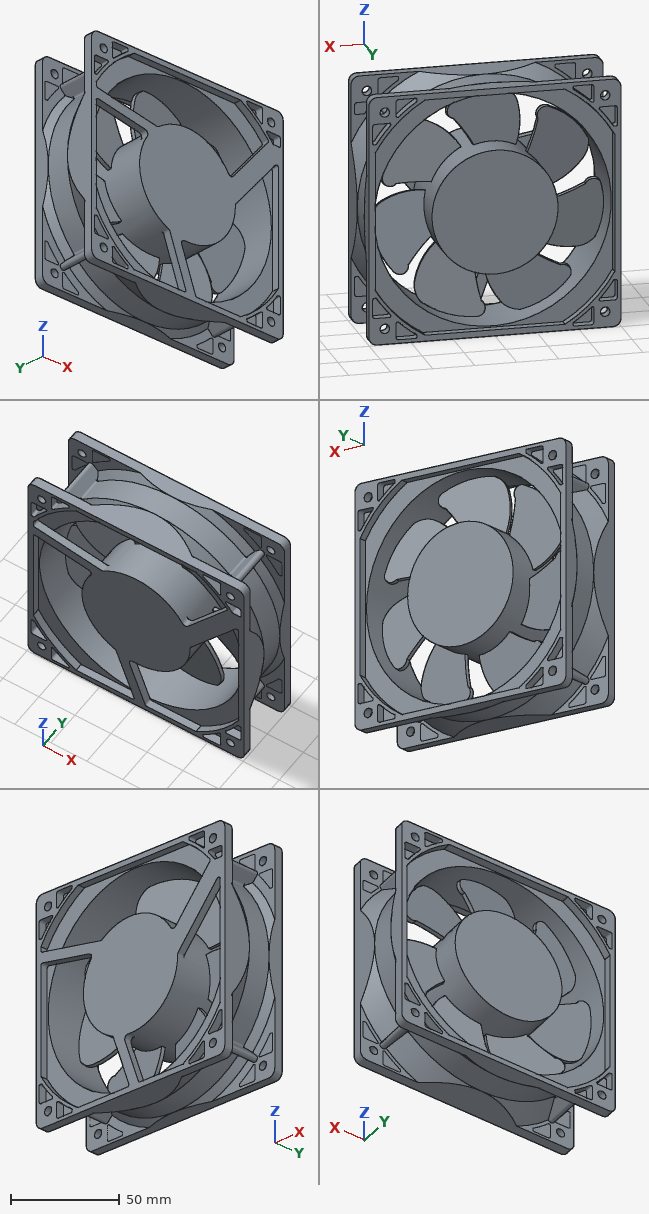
import cadquery as cq
import math

frame_size = 120.0
frame_depth = 38.5
corner_radius = 4.0
flange_thickness = 5.0
back_flange_front = frame_depth - flange_thickness
hole_offset = 52.5
hole_diameter = 4.5

ring_radius = 60.0
bore_radius = 56.4
ring_front = 16.5
ring_back = 29.6
front_flare_radius = 66.1
back_flare_radius = 63.2

post_offset = 47.3
post_reach = post_offset * math.sqrt(2)
post_radius = 1.7
web_root_radius = 1.1

recess_depth = 4.2
recess_half = 57.0
recess_radius = 66.0
recess_square_corner = math.sqrt(recess_radius**2 - recess_half**2)
spoke_rim_radius = 1.1
spoke_hub_radius = 2.0

hub_radius = 30.0
spoke_offset = 17.3
spokes = [(50, 10.2), (170, 5.5), (290, 5.5)]

pocket_depth = 4.5
pocket_far = 47.0
pocket_edge = 58.2
pocket_arc_radius = 67.7
pocket_tip = 37.2
pocket_short_tip = 41.3
pocket_corner_radius = 1.2
pocket_tip_radius = 0.7

blade_count = 7
blade_tilt = 10.0
blade_thickness = 2.0
blade_front = 22.5
trailing_root = (7.5, 29.5)
trailing_middle = (11.9, 36.4)
trailing_end = (17.4, 43.2)
trailing_tip = (20.8, 47.2)
rim_start = (18.6, 50.6)
rim_middle = (6.0, 55.0)
rim_end = (-8.3, 55.0)
leading_tip = (-12.6, 51.6)
leading_end = (-15.0, 46.8)
leading_middle = (-16.1, 37.2)
leading_root = (-14.0, 26.6)
blade_root_centre = (0, hub_radius / 2)


def front_plane(y):
    """Sketch plane at depth y, with sketch x along X and sketch y along Z."""
    return cq.Workplane("XZ", origin=(0, y, 0))


def prism(sketch, depth):
    """Extrude a front-plane sketch toward +Y."""
    return sketch.extrude(-depth)


def turn(body, angle):
    """Turn about the fan axis, from +X toward +Z."""
    return body.rotate((0, 0, 0), (0, 1, 0), -angle)


def cylinder(radius, y, depth):
    return prism(front_plane(y).circle(radius), depth)


def square_block(y, depth):
    block = prism(front_plane(y).rect(frame_size, frame_size), depth)
    return block.edges("|Y").fillet(corner_radius)


def at_corners(offset, radius):
    """Four full-depth cylinders, one per corner."""
    centres = front_plane(0).rect(2 * offset, 2 * offset, forConstruction=True).vertices()
    return prism(centres.circle(radius), frame_depth)


def make_duct():
    """Flared duct, trimmed flat where it would pass the square outline."""
    profile = [
        (0, 0),
        (front_flare_radius, 0),
        (front_flare_radius, flange_thickness),
        (ring_radius, ring_front),
        (ring_radius, ring_back),
        (back_flare_radius, back_flange_front),
        (back_flare_radius, frame_depth),
        (0, frame_depth),
    ]
    duct = cq.Workplane("XY").polyline(profile).close().revolve(360, (0, 0, 0), (0, 1, 0))
    return duct.intersect(square_block(0, frame_depth))


def make_webs(y, depth):
    """Two crossed bars along the diagonals, ending at the post centres."""
    bar = prism(front_plane(y).rect(2 * post_reach, 2 * post_radius), depth)
    return turn(bar, 45).union(turn(bar, -45))


def is_web_root(edge):
    centre = edge.Center()
    on_ring = abs(math.hypot(centre.x, centre.z) - ring_radius) < 0.01
    near_diagonal = abs(abs(centre.x) - abs(centre.z)) < 2 * post_radius
    return on_ring and near_diagonal


def make_ring_core():
    """Straight stretch of the ring, blended into the webs."""
    depth = ring_back - ring_front
    core = cylinder(ring_radius, ring_front, depth).union(make_webs(ring_front, depth))
    return core.edges("|Y").filter(is_web_root).fillet(web_root_radius)


def make_frame():
    frame = make_duct()
    frame = frame.union(square_block(0, flange_thickness))
    frame = frame.union(square_block(back_flange_front, flange_thickness))
    frame = frame.union(make_webs(0, frame_depth))
    frame = frame.union(make_ring_core())
    frame = frame.union(at_corners(post_offset, post_radius))
    frame = frame.cut(at_corners(hole_offset, hole_diameter / 2))
    return frame.cut(cylinder(bore_radius, recess_depth, frame_depth))


def make_recess(y):
    recess = prism(front_plane(y).rect(2 * recess_half, 2 * recess_half), recess_depth)
    return recess.intersect(cylinder(recess_radius, y, recess_depth))


def make_spoke(direction, width):
    bar = front_plane(0).center(frame_size / 2, -spoke_offset).rect(frame_size, width)
    return turn(prism(bar, recess_depth), direction)


def is_hub_corner(edge):
    return math.hypot(edge.Center().x, edge.Center().z) < hub_radius + 0.01


def is_rim_corner(edge):
    """Outer corner on a spoke, as opposed to one where the recess square meets its circle."""
    sides = (abs(edge.Center().x), abs(edge.Center().z))
    on_square_corner = any(abs(side - recess_square_corner) < 0.01 for side in sides)
    return not on_square_corner and not is_hub_corner(edge)


def make_spoke_openings():
    """Front recess with the hub and spokes left standing."""
    openings = make_recess(0).cut(cylinder(hub_radius, 0, recess_depth))
    for direction, width in spokes:
        openings = openings.cut(make_spoke(direction, width))
    openings = openings.edges("|Y").filter(is_rim_corner).fillet(spoke_rim_radius)
    return openings.edges("|Y").filter(is_hub_corner).fillet(spoke_hub_radius)


def make_pocket(y, tip):
    """Pocket along the +Z side near the +X +Z corner, cut off inward by an arc about the fan axis."""
    pocket = front_plane(y).moveTo(tip, 0).lineTo(pocket_far, 0).lineTo(pocket_far, pocket_edge)
    pocket = prism(pocket.lineTo(tip, pocket_edge).close(), pocket_depth)
    pocket = pocket.cut(cylinder(pocket_arc_radius, y, pocket_depth))
    pocket = pocket.edges("|Y and (not (>X and >Z))").fillet(pocket_tip_radius)
    return pocket.edges("|Y and >X and >Z").fillet(pocket_corner_radius)


def make_pocket_pair(y, side_tip):
    """The two pockets of the +X +Z corner, the second along the +X side."""
    upper = make_pocket(y, pocket_tip)
    side = turn(make_pocket(y, side_tip).mirror("YZ"), -90)
    return upper.union(side)


def make_blade():
    outline = (
        front_plane(0)
        .moveTo(*blade_root_centre)
        .lineTo(*trailing_root)
        .threePointArc(trailing_middle, trailing_end)
        .threePointArc(trailing_tip, rim_start)
        .threePointArc(rim_middle, rim_end)
        .threePointArc(leading_tip, leading_end)
        .threePointArc(leading_middle, leading_root)
        .close()
    )
    blade = prism(outline, blade_thickness)
    return blade.rotate((0, 0, 0), (0, 0, 1), blade_tilt).translate((0, blade_front, 0))


result = make_frame()
result = result.cut(make_spoke_openings())
result = result.cut(make_recess(frame_depth - recess_depth))

for quarter in range(4):
    side_tip = pocket_short_tip if quarter == 0 else pocket_tip
    front_pockets = make_pocket_pair(0, side_tip)
    back_pockets = make_pocket_pair(frame_depth - pocket_depth, pocket_tip)
    result = result.cut(turn(front_pockets, 90 * quarter))
    result = result.cut(turn(back_pockets, 90 * quarter))

result = result.union(cylinder(hub_radius, 0, frame_depth))
for index in range(blade_count):
    result = result.union(turn(make_blade(), 360 * index / blade_count))